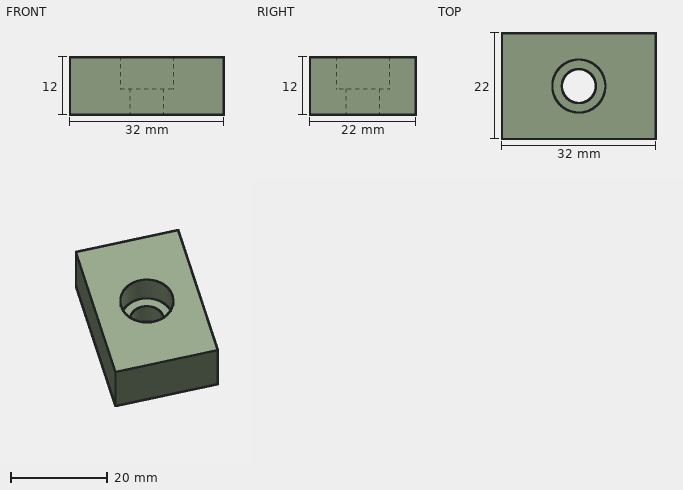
import cadquery as cq

length = 32.0
width = 22.0
height = 12.0

hole_diameter = 7.0
counterbore_diameter = 11.0
counterbore_depth = 6.6

block = cq.Workplane("XY").box(length, width, height, centered=(True, True, False))

result = (
    block.faces(">Z")
    .workplane()
    .cboreHole(hole_diameter, counterbore_diameter, counterbore_depth)
)